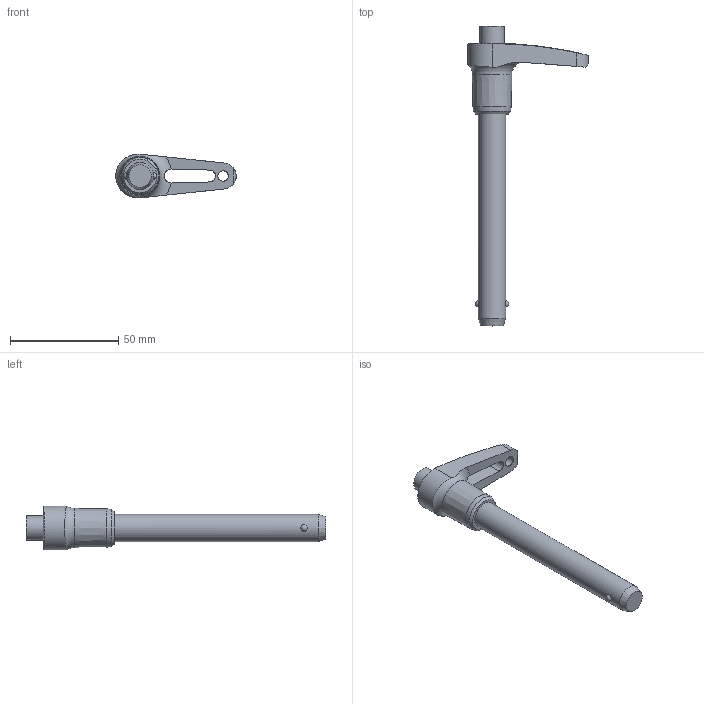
import cadquery as cq
import math


SHANK_RADIUS = 6.33
SHANK_LENGTH = 98.0
NOSE_RADIUS = 5.2
NOSE_LENGTH = 3.5

BALL_RADIUS = 1.5
BALL_REACH = 7.67
BALL_FROM_TIP = 10.2

SHOULDER_RADIUS = 7.7
CHAMFER_TOP = 1.27
CHAMFER_TOP_RADIUS = 8.6
BAND_TOP = 3.4
BAND_TOP_RADIUS = 8.85
COLLAR_TOP = 18.4
COLLAR_TOP_RADIUS = 9.15

FLARE_RADIUS = 5.6

HANDLE_LENGTH = 55.66
HEAD_RADIUS = 10.16
SIDE_TAPER = math.radians(6)

HANDLE_TOP = 32.7
DOME_RADIUS = 180.0
UNDERSIDE_SLOPE = math.radians(4.65)
TIP_ROUND = 2.0

SLOT_START_X = 11.2
SLOT_END_X = 34.85
SLOT_START_RADIUS = 3.25
SLOT_END_RADIUS = 2.75
LANYARD_HOLE_RADIUS = 2.4

BUTTON_RADIUS = 5.6
OVERALL_LENGTH = 138.68

HEAD_CENTER_X = -HEAD_RADIUS * math.sin(SIDE_TAPER)
CENTER_DISTANCE = (HANDLE_LENGTH - 2 * HEAD_RADIUS) / (1 - math.sin(SIDE_TAPER))
TIP_RADIUS = HEAD_RADIUS - CENTER_DISTANCE * math.sin(SIDE_TAPER)
TIP_CENTER_X = HEAD_CENTER_X + CENTER_DISTANCE
TIP_X = TIP_CENTER_X + TIP_RADIUS

FLARE_TOP = COLLAR_TOP + FLARE_RADIUS
FLARE_OUTER_RADIUS = COLLAR_TOP_RADIUS + FLARE_RADIUS
TIP_Y = -SHANK_LENGTH
BUTTON_TOP = OVERALL_LENGTH - SHANK_LENGTH


def tapered_outline(start_x, start_radius, end_x, end_radius):
    """Prism from Y = 0 to the button top whose outline is two circles joined by their tangent lines."""
    taper = math.asin((start_radius - end_radius) / (end_x - start_x))
    start_tangent_x = start_x + start_radius * math.sin(taper)
    start_tangent_z = start_radius * math.cos(taper)
    end_tangent_x = end_x + end_radius * math.sin(taper)
    end_tangent_z = end_radius * math.cos(taper)
    return (
        cq.Workplane("XZ")
        .moveTo(start_tangent_x, start_tangent_z)
        .lineTo(end_tangent_x, end_tangent_z)
        .threePointArc((end_x + end_radius, 0), (end_tangent_x, -end_tangent_z))
        .lineTo(start_tangent_x, -start_tangent_z)
        .threePointArc((start_x - start_radius, 0), (start_tangent_x, start_tangent_z))
        .close()
        .extrude(-BUTTON_TOP)
    )


def underside_y(radius):
    """Height of the conical underside, which falls away from the rim of the flare."""
    return FLARE_TOP - (radius - FLARE_OUTER_RADIUS) * math.tan(UNDERSIDE_SLOPE)


def handle_blank():
    """Round blank of the handle: flare, conical underside and domed back about the Y axis."""
    arc_offset = FLARE_RADIUS * math.sqrt(0.5)
    flare_middle = (FLARE_OUTER_RADIUS - arc_offset, COLLAR_TOP + arc_offset)
    dome_center_y = HANDLE_TOP - DOME_RADIUS
    blank_radius = HANDLE_LENGTH
    dome_edge_y = dome_center_y + math.sqrt(DOME_RADIUS**2 - blank_radius**2)
    dome_half_angle = math.asin(blank_radius / DOME_RADIUS) / 2
    dome_middle = (
        DOME_RADIUS * math.sin(dome_half_angle),
        dome_center_y + DOME_RADIUS * math.cos(dome_half_angle),
    )
    return (
        cq.Workplane("XY")
        .moveTo(0, COLLAR_TOP)
        .lineTo(COLLAR_TOP_RADIUS, COLLAR_TOP)
        .threePointArc(flare_middle, (FLARE_OUTER_RADIUS, FLARE_TOP))
        .lineTo(blank_radius, underside_y(blank_radius))
        .lineTo(blank_radius, dome_edge_y)
        .threePointArc(dome_middle, (0, HANDLE_TOP))
        .close()
        .revolve(360, (0, 0, 0), (0, 1, 0))
    )


def tip_corner_cutter():
    """Prism along Z that rounds the lower end corner of the arm."""
    corner_y = underside_y(TIP_X)
    start_x = TIP_X - TIP_ROUND
    arc_offset = TIP_ROUND * math.sqrt(0.5)
    return (
        cq.Workplane("XY")
        .moveTo(start_x, corner_y)
        .threePointArc(
            (start_x + arc_offset, corner_y + TIP_ROUND - arc_offset),
            (TIP_X, corner_y + TIP_ROUND),
        )
        .lineTo(TIP_X + TIP_ROUND, corner_y + TIP_ROUND)
        .lineTo(TIP_X + TIP_ROUND, corner_y - TIP_ROUND)
        .lineTo(start_x, corner_y - TIP_ROUND)
        .close()
        .extrude(HEAD_RADIUS, both=True)
    )


def handle():
    """Tapered, domed handle with its flare, slot and lanyard hole."""
    outline = tapered_outline(HEAD_CENTER_X, HEAD_RADIUS, TIP_CENTER_X, TIP_RADIUS)
    body = handle_blank().intersect(outline).cut(tip_corner_cutter())
    slot = tapered_outline(
        SLOT_START_X + SLOT_START_RADIUS,
        SLOT_START_RADIUS,
        SLOT_END_X - SLOT_END_RADIUS,
        SLOT_END_RADIUS,
    )
    hole = (
        cq.Workplane("XZ", origin=(TIP_CENTER_X, 0, 0))
        .circle(LANYARD_HOLE_RADIUS)
        .extrude(-BUTTON_TOP)
    )
    return body.cut(slot).cut(hole)


def pin():
    """Shank with tapered nose, collar and push button, turned about the Y axis."""
    return (
        cq.Workplane("XY")
        .moveTo(0, TIP_Y)
        .lineTo(NOSE_RADIUS, TIP_Y)
        .lineTo(SHANK_RADIUS, TIP_Y + NOSE_LENGTH)
        .lineTo(SHANK_RADIUS, 0)
        .lineTo(SHOULDER_RADIUS, 0)
        .lineTo(CHAMFER_TOP_RADIUS, CHAMFER_TOP)
        .lineTo(BAND_TOP_RADIUS, BAND_TOP)
        .lineTo(COLLAR_TOP_RADIUS, COLLAR_TOP)
        .lineTo(BUTTON_RADIUS, COLLAR_TOP)
        .lineTo(BUTTON_RADIUS, BUTTON_TOP)
        .lineTo(0, BUTTON_TOP)
        .close()
        .revolve(360, (0, 0, 0), (0, 1, 0))
    )


def locking_ball(side):
    """Ball peeking out of the shank on the +X (side = 1) or -X (side = -1) flank."""
    ball_x = side * (BALL_REACH - BALL_RADIUS)
    center = (ball_x, TIP_Y + BALL_FROM_TIP, 0)
    return cq.Workplane("XY", origin=center).sphere(BALL_RADIUS, direct=(0, 1, 0))


result = pin()
for flank in (1, -1):
    result = result.union(locking_ball(flank))
result = result.union(handle())